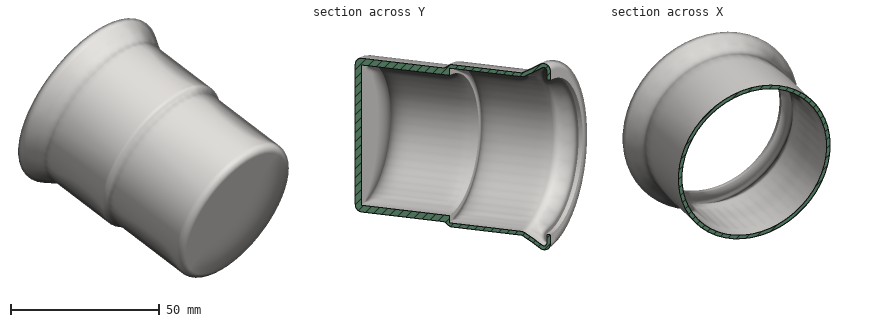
import cadquery as cq
import math

length = 72.0
rim_radius = 32.7
socket_radius = 28.5
spigot_radius = 27.0
wall = socket_radius - spigot_radius
bore_radius = spigot_radius

roll = 2.5
flare_angle = math.radians(30)
neck_bend = 1.7
neck_end = 10.95

step_start = 36.4
step_angle = math.radians(40)
shoulder_bend = 1.7
root_bend = 2.15

stop_depth = 37.15
end_round = 2.5
spigot_bore_radius = spigot_radius - end_round
end_wall = end_round


def on_arc(center, radius, angle):
    """Point at an angle from the radial direction, positive toward +X."""
    return (center[0] + radius * math.sin(angle), center[1] + radius * math.cos(angle))


roll_center = (roll, rim_radius - roll)
neck_center = (neck_end, socket_radius + neck_bend)
shoulder_center = (step_start, socket_radius - shoulder_bend)
bend_sum = shoulder_bend + root_bend
cone_drop = wall - bend_sum * (1 - math.cos(step_angle))
step_length = bend_sum * math.sin(step_angle) + cone_drop / math.tan(step_angle)
root_center = (step_start + step_length, spigot_radius + root_bend)
end_center = (length - end_round, spigot_radius - end_round)

inner_roll = roll - wall
inner_neck = neck_bend + wall


def make_outside():
    return (
        cq.Workplane("XY")
        .moveTo(0, 0)
        .lineTo(0, roll_center[1])
        .threePointArc(on_arc(roll_center, roll, 0), on_arc(roll_center, roll, flare_angle))
        .lineTo(*on_arc(neck_center, -neck_bend, flare_angle))
        .threePointArc(on_arc(neck_center, -neck_bend, flare_angle / 2), (neck_end, socket_radius))
        .lineTo(step_start, socket_radius)
        .threePointArc(
            on_arc(shoulder_center, shoulder_bend, step_angle / 2),
            on_arc(shoulder_center, shoulder_bend, step_angle),
        )
        .lineTo(*on_arc(root_center, -root_bend, step_angle))
        .threePointArc(on_arc(root_center, -root_bend, step_angle / 2), (root_center[0], spigot_radius))
        .lineTo(end_center[0], spigot_radius)
        .threePointArc(on_arc(end_center, end_round, math.pi / 4), (length, end_center[1]))
        .lineTo(length, 0)
        .close()
        .revolve(360, (0, 0, 0), (1, 0, 0))
    )


def make_cavity():
    return (
        cq.Workplane("XY")
        .moveTo(0, 0)
        .lineTo(0, bore_radius)
        .lineTo(wall, bore_radius)
        .lineTo(wall, roll_center[1])
        .threePointArc(on_arc(roll_center, inner_roll, 0), on_arc(roll_center, inner_roll, flare_angle))
        .lineTo(*on_arc(neck_center, -inner_neck, flare_angle))
        .threePointArc(on_arc(neck_center, -inner_neck, flare_angle / 2), (neck_end, bore_radius))
        .lineTo(stop_depth, bore_radius)
        .lineTo(stop_depth, spigot_bore_radius)
        .lineTo(length - end_wall, spigot_bore_radius)
        .lineTo(length - end_wall, 0)
        .close()
        .revolve(360, (0, 0, 0), (1, 0, 0))
    )


result = make_outside().cut(make_cavity())